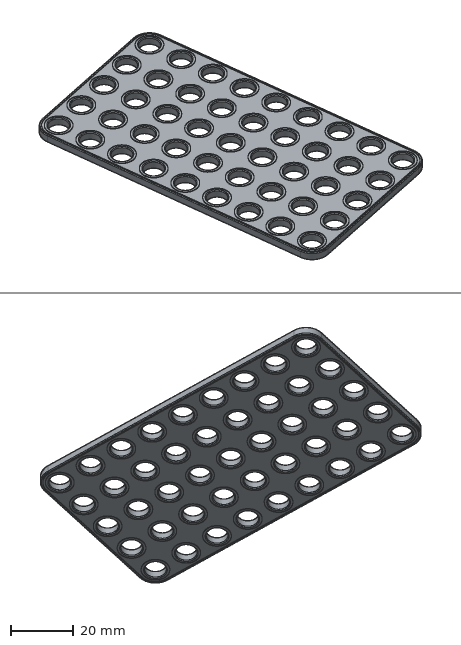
import cadquery as cq

length = 112.5
columns = 9
rows = 5
pitch = length / columns
width = rows * pitch
thickness = pitch / 4
corner_radius = pitch / 2
edge_chamfer = 0.3

hole_diameter = 7.0
hole_chamfer = 0.32
collar_diameter = 9.2

border_width = 0.8
recess_depth = 0.2


def at_grid(shape):
    """Copies of a shape, one at each hole position."""
    return cq.Workplane("XY").rarray(pitch, pitch, columns, rows).eachpoint(shape)


def rounded_plate():
    plate = cq.Workplane("XY").box(length, width, thickness)
    plate = plate.edges("|Z").fillet(corner_radius)
    return plate.faces("<Z or >Z").edges().chamfer(edge_chamfer)


def recess(floor):
    """Cutter of recess_depth, resting on height floor, that leaves the collars standing."""
    field = (
        cq.Workplane("XY", origin=(0, 0, floor))
        .rect(length - 2 * border_width, width - 2 * border_width)
        .extrude(recess_depth)
        .edges("|Z")
        .fillet(corner_radius - border_width)
    )
    collar = cq.Workplane("XY", origin=(0, 0, floor)).circle(collar_diameter / 2).extrude(recess_depth)
    return field.cut(at_grid(collar.val()))


def chamfered_holes():
    """Through-hole cutters, flared at both faces of the plate."""
    half = thickness / 2
    bore = hole_diameter / 2
    mouth = bore + hole_chamfer
    cutter = (
        cq.Workplane("XZ")
        .moveTo(0, -half)
        .lineTo(mouth, -half)
        .lineTo(bore, -half + hole_chamfer)
        .lineTo(bore, half - hole_chamfer)
        .lineTo(mouth, half)
        .lineTo(0, half)
        .close()
        .revolve(360, (0, 0, 0), (0, 1, 0))
    )
    return at_grid(cutter.val())


result = (
    rounded_plate()
    .cut(recess(thickness / 2 - recess_depth))
    .cut(recess(-thickness / 2))
    .cut(chamfered_holes())
)